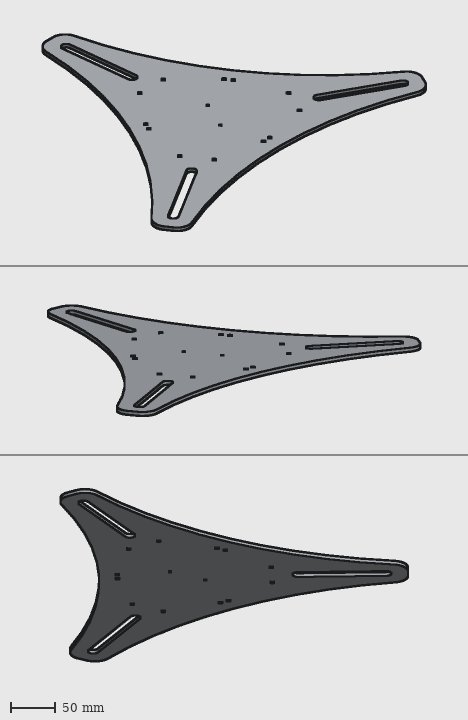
import cadquery as cq
import math

thickness = 5.0
arm_count = 3
arm_step = 360 / arm_count
tip_distance = 250.0
tip_half_width = 21.7
tip_corner_radius = 18.0
waist_distance = 100.5

slot_width = 12.0
slot_inner_center = 125.0
slot_outer_center = 225.0

screw_diameter = 4.2
arm_pair_distance = 95.5
arm_pair_spacing = 40.0
waist_pair_distance = 80.0
waist_pair_spacing = 10.5
center_hole_diameter = 2.8
center_hole_spacing = 45.5


def rotated(x, y, angle):
    """Turn a point about the plate centre, angle in degrees."""
    a = math.radians(angle)
    return (x * math.cos(a) - y * math.sin(a), x * math.sin(a) + y * math.cos(a))


def arm_angles():
    return [i * arm_step for i in range(arm_count)]


def make_plate():
    """Flat arm tips joined by concave arcs, with rounded tip corners."""
    outline = cq.Workplane("XY").moveTo(tip_half_width, tip_distance)
    for angle in arm_angles():
        left_corner = rotated(-tip_half_width, tip_distance, angle)
        waist = rotated(0, waist_distance, angle + arm_step / 2)
        next_corner = rotated(tip_half_width, tip_distance, angle + arm_step)
        outline = outline.lineTo(*left_corner).threePointArc(waist, next_corner)
    return outline.close().extrude(thickness).edges("|Z").fillet(tip_corner_radius)


def make_slot(angle):
    length = slot_outer_center - slot_inner_center + slot_width
    middle = (slot_outer_center + slot_inner_center) / 2
    slot = cq.Workplane("XY").center(0, middle).slot2D(length, slot_width, 90).extrude(thickness)
    return slot.rotate((0, 0, 0), (0, 0, 1), angle)


def make_hole_pair(distance, spacing, diameter, angle):
    """Two holes side by side, at a distance from the centre along the angle from +Y."""
    points = [rotated(side * spacing / 2, distance, angle) for side in (-1, 1)]
    return cq.Workplane("XY").pushPoints(points).circle(diameter / 2).extrude(thickness)


result = make_plate()
for arm_angle in arm_angles():
    waist_angle = arm_angle + arm_step / 2
    result = result.cut(make_slot(arm_angle))
    result = result.cut(make_hole_pair(arm_pair_distance, arm_pair_spacing, screw_diameter, arm_angle))
    result = result.cut(make_hole_pair(waist_pair_distance, waist_pair_spacing, screw_diameter, waist_angle))
result = result.cut(make_hole_pair(0, center_hole_spacing, center_hole_diameter, 0))